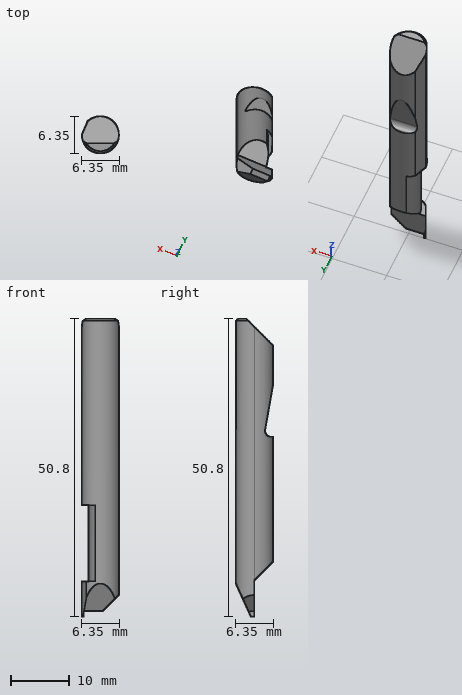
import cadquery as cq
import math

LENGTH = 50.8
DIAMETER = 6.35
RADIUS = DIAMETER / 2
MARGIN = 1.0

TOP_CHAMFER = 0.4
TOP_SLOPE_START_Y = -1.4
FLAT_TILT = 23.0
NOTCH_BOTTOM_Z = 30.7
NOTCH_TOP_Z = 39.4
NOTCH_ANGLE = 10.0
NOTCH_RADIUS = 1.0

NECK_TOP_Z = 19.05
NECK_BOTTOM_Z = 6.05
NECK_SIDE_X = -2.05
NECK_RADIUS = 4.5

RAKE_TOP_Z = 6.2
FRONT_SLOPE_TOP_Z = 5.7
FRONT_SLOPE_ANGLE = 24.5
SIDE_RELIEF_ANGLE = 20.8
HEAD_BOTTOM_Z = 1.0
CORNER_CUT_X = 0.42
NIB_WIDTH = 0.38
NIB_RADIUS = 0.17


def prism_along_x(points):
    """Solid with a YZ outline that spans the whole part in X."""
    return cq.Workplane("YZ").polyline(points).close().extrude(RADIUS + MARGIN, both=True)


def prism_along_y(points):
    """Solid with an XZ outline that spans the whole part in Y."""
    return cq.Workplane("XZ").polyline(points).close().extrude(RADIUS + MARGIN, both=True)


def prism_along_z(points, bottom, top):
    """Solid with an XY outline between two heights."""
    return cq.Workplane("XY").workplane(offset=bottom).polyline(points).close().extrude(top - bottom)


def bar():
    """Round blank, chamfered at the top."""
    return cq.Workplane("XY").circle(RADIUS).extrude(LENGTH).faces(">Z").chamfer(TOP_CHAMFER)


def top_slope():
    """45 degree slope across the +Y side of the top end."""
    end_y = RADIUS + MARGIN
    low_z = LENGTH - (end_y - TOP_SLOPE_START_Y)
    start = (TOP_SLOPE_START_Y - MARGIN, LENGTH + MARGIN)
    return prism_along_x([start, (end_y, low_z), (end_y, LENGTH + MARGIN)])


def shank_flat():
    """Flat down the -X side of the shank, starting at Y = 0 and leaning toward +Y."""
    tilt = math.radians(FLAT_TILT)
    end_y = RADIUS + MARGIN
    corners = [
        (-RADIUS, 0),
        (-RADIUS + end_y * math.tan(tilt), end_y),
        (-RADIUS - MARGIN, end_y),
        (-RADIUS - MARGIN, 0),
    ]
    return prism_along_z(corners, NECK_TOP_Z, LENGTH)


def clamping_notch():
    """Wedge-shaped notch in the +Y side with a rounded inner corner."""
    slope = math.tan(math.radians(NOTCH_ANGLE))
    depth = (NOTCH_TOP_Z - NOTCH_BOTTOM_Z) * slope
    outer_y = RADIUS + MARGIN
    corners = [
        (RADIUS - depth, NOTCH_BOTTOM_Z),
        (outer_y, NOTCH_BOTTOM_Z),
        (outer_y, NOTCH_TOP_Z + MARGIN / slope),
    ]
    return prism_along_x(corners).edges("|X").edges("<Y").fillet(NOTCH_RADIUS)


def neck_relief():
    """Space outside the larger, off-axis cylinder that forms the -X side of the neck."""
    height = NECK_TOP_Z - NECK_BOTTOM_Z
    half_width = RADIUS + MARGIN
    blank = cq.Workplane("XY").workplane(offset=NECK_BOTTOM_Z)
    block = blank.center(-half_width / 2, 0).rect(half_width, 2 * half_width).extrude(height)
    core = blank.center(NECK_SIDE_X + NECK_RADIUS, 0).circle(NECK_RADIUS).extrude(height)
    return block.cut(core)


def rake_cut():
    """Removes the +Y half of the head, leaving the rake face and a 45 degree back slope."""
    end_y = RADIUS + MARGIN
    return prism_along_x([(0, -MARGIN), (0, RAKE_TOP_Z), (end_y, RAKE_TOP_Z + end_y), (end_y, -MARGIN)])


def front_slope():
    """Clearance slope on the -Y side of the head."""
    slope = math.tan(math.radians(FRONT_SLOPE_ANGLE))
    bottom_y = -RADIUS + (FRONT_SLOPE_TOP_Z + MARGIN) * slope
    outer_y = -RADIUS - MARGIN
    corners = [
        (bottom_y, -MARGIN),
        (outer_y, FRONT_SLOPE_TOP_Z + MARGIN / slope),
        (outer_y, -MARGIN),
    ]
    return prism_along_x(corners)


def side_relief():
    """Flat relief behind the cutting edge on the -X side of the head."""
    end_y = -RADIUS - MARGIN
    end_x = -RADIUS - end_y * math.tan(math.radians(SIDE_RELIEF_ANGLE))
    outer_x = -RADIUS - MARGIN
    return prism_along_z([(-RADIUS, 0), (end_x, end_y), (outer_x, end_y), (outer_x, 0)], 0, NECK_BOTTOM_Z)


def bottom_cut():
    """Material beside and below the nib, with a 45 degree cut up the +X corner."""
    nib_x = -RADIUS + NIB_WIDTH
    outer_x = RADIUS + MARGIN
    corners = [
        (nib_x, -MARGIN),
        (nib_x, HEAD_BOTTOM_Z),
        (CORNER_CUT_X, HEAD_BOTTOM_Z),
        (outer_x, HEAD_BOTTOM_Z + outer_x - CORNER_CUT_X),
        (outer_x, -MARGIN),
    ]
    return prism_along_y(corners)


def nib_rounding():
    """Material outside the rounded lower corners of the nib."""
    center_x = -RADIUS + NIB_WIDTH / 2
    block = cq.Workplane("XZ").center(center_x, NIB_RADIUS / 2).rect(NIB_WIDTH, NIB_RADIUS)
    nib = cq.Workplane("XZ").center(center_x, NIB_WIDTH).rect(NIB_WIDTH, 2 * NIB_WIDTH)
    rounded = nib.extrude(RADIUS, both=True).faces("<Z").edges("|Y").fillet(NIB_RADIUS)
    return block.extrude(RADIUS, both=True).cut(rounded)


result = bar()
for cutter in (
    top_slope(),
    shank_flat(),
    clamping_notch(),
    neck_relief(),
    rake_cut(),
    front_slope(),
    side_relief(),
    bottom_cut(),
    nib_rounding(),
):
    result = result.cut(cutter)